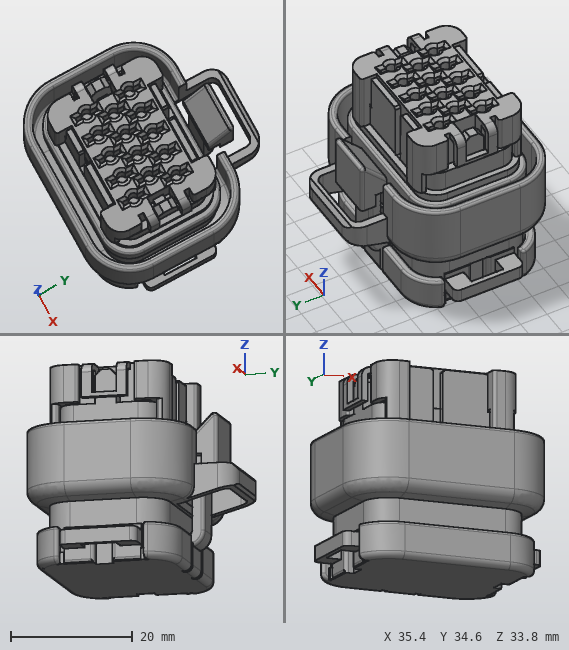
import cadquery as cq
import math

CORNER_X = 9.5
CORNER_Y = 5.63

SKIRT_OFFSET = 17.7 - CORNER_X
SKIRT_TOP = 23.08
SKIRT_BOTTOM = 10.48
SKIRT_CONE_ANGLE = 14
SKIRT_FILLET = 2.15
SKIRT_RIM_FILLET = 0.45
CAVITY_OFFSET = 6.75
CAVITY_BOTTOM = 11.9
CAVITY_FILLET = 0.53
NECK_OFFSET = 4.5
SEAL_SEAT = 18.4
LEDGE_OFFSET = 3.93
LEDGE_TOP = 23.2
PLUG_X = 12.4
PLUG_Y = 8.35
PLUG_RADIUS = 2.9
PLUG_TOP = 26.97

PANEL_END_X = 7.15
PANEL_INNER_Y = 7.33
PANEL_TOP = 33.3
PANEL_CHAMFER = 0.4
KEYWAY_X0 = -2.62
KEYWAY_X1 = -0.92
KEYWAY_FLOOR_Y = 7.22
KEYWAY_BOTTOM = 22.8

POST_Y = 1.8
POST_TOP = 32.65
POST_CHAMFER = 1.0
POST_TOP_INNER_X = 10.62
POST_FOOT_INNER_X = 9.77
POST_RIB_Y = 0.95
POST_RIB_TOP = 29.03

RIM_OFFSET = 6.55
RIM_INNER_OFFSET = 4.92
RIM_TOP = 6.1
RIM_TOP_FILLET = 0.42
RIM_BOTTOM_FILLET = 1.15
RIM_GROOVE_FLOOR = 1.4
RIM_GAP_Y = 7.2
RIM_END_FILLET = 0.55
PAD_X = 14.15
PAD_Y = 6.55
PAD_BOTTOM_FILLET = 0.67
WEB_X = 14.5
WEB_TOP = 1.9
LOOP_X = 17.7
LOOP_BOTTOM = 2.55
LOOP_TOP = 5.03
LOOP_RADIUS = 1.1
LOOP_BAR = 0.92
LOOP_OPENING_Y = 3.0
GROOVE_Y = 1.5
GROOVE_DEPTH = 1.6
GROOVE_FILLET = 0.6

LATCH_GAP_X = 6.48
LATCH_GAP_Y = 10.62
GUARD_X = 7.93
GUARD_Y = 20.75
GUARD_ROOT_Y = 12.55
GUARD_TOP = 16.92
GUARD_TIP_BOTTOM = 13.25
GUARD_ROOT_BOTTOM = 11.15
GUARD_OUTER_RADIUS = 2.97
GUARD_INNER_RADIUS = 1.4
GUARD_BAR = 1.5
GUARD_TOP_CHAMFER = 0.75
GUARD_TIP_CHAMFER = 0.5
ARM_X = 2.55
ARM_INNER_Y = 12.07
ARM_OUTER_Y = 14.1
ARM_BEND_Z = 6.97
ARM_ROOT_Z = 4.25
ARM_TOP = 21.25
ARM_SLOT_X = 3.45
LEVER_X = 4.45
LEVER_FRONT_Y = 11.95
LEVER_BACK_Y = 16.8
LEVER_TOP = 26.15
LEVER_TOP_WIDTH = 0.9
LEVER_UNDERCUT = 19.4
LEVER_FILLET = 0.55
ARM_FILLET = 0.55

SEAL_OFFSET = 5.05
SEAL_TOP = 21.77
SEAL_FILLET = 0.35

LOCK_TOP = 33.75
LOCK_Y = 10.1
LOBE_BOTTOM = 27.45
LOBE_INNER_X = 7.45
LOBE_FILLET = 0.53
NOTCH_FILLET = 0.45
LEG_X = 11.4
LEG_FILLET = 0.35
CORE_X = 10.97
CORE_Y = 7.1
NOTCH_Y = 4.75
HOOK_X = 13.45
HOOK_WALL = 1.05
HOOK_RADIUS = 1.55
HOOK_INNER_Y = 2.1
HOOK_OUTER_Y = 3.82
HOOK_BOTTOM = 27.95
CROSSBAR_TOP = 28.67
POCKET_X = 9.03

PITCH = 4.0
CAVITY_DEPTH = 4.25
HOLE_RADIUS = 0.9
COUNTERSINK_RADIUS = 1.52
SLOT_X = 0.65
SLOT_Y = 3.95
SLOT_BEVEL = 0.65
BEVEL_DEPTH = 0.5


def rounded_box(half_x, half_y, radius, bottom, top):
    box = cq.Workplane("XY").workplane(offset=bottom).rect(2 * half_x, 2 * half_y)
    return box.extrude(top - bottom).edges("|Z").fillet(radius)


def sleeve(offset, bottom, top):
    """The shared plan outline grown by offset, between two heights."""
    return rounded_box(CORNER_X + offset, CORNER_Y + offset, offset, bottom, top)


def outline_wire(offset, height):
    return sleeve(offset, height, height + 0.35).faces("<Z").val().outerWire()


def bowl(offset, bottom, top, fillet):
    """A sleeve closed by a shallow cone that starts at the neck, with a fillet between the two."""
    cone_top = bottom + (offset - NECK_OFFSET) * math.tan(math.radians(SKIRT_CONE_ANGLE))
    cone = cq.Solid.makeLoft([outline_wire(NECK_OFFSET, bottom), outline_wire(offset, cone_top)], True)
    shape = sleeve(offset, cone_top, top).union(cq.Workplane(cone))
    corner = cq.selectors.BoxSelector((-35.05, -35.05, cone_top - 0.05), (35.05, 35.05, cone_top + 0.05))
    return shape.edges(corner).fillet(fillet)


def box(x0, x1, y0, y1, z0, z1):
    return cq.Workplane("XY").box(x1 - x0, y1 - y0, z1 - z0, centered=False).translate((x0, y0, z0))


def both_ends(shape):
    """A feature at -X together with its mirror image at +X."""
    return shape.union(shape.mirror("YZ"))


def skirt():
    shell = bowl(SKIRT_OFFSET, SKIRT_BOTTOM, SKIRT_TOP, SKIRT_FILLET)
    shell = shell.cut(bowl(CAVITY_OFFSET, CAVITY_BOTTOM, SKIRT_TOP, CAVITY_FILLET))
    shell = shell.faces(">Z").edges().fillet(SKIRT_RIM_FILLET)
    return shell.cut(box(-LATCH_GAP_X, LATCH_GAP_X, LATCH_GAP_Y, GUARD_Y, 0, LOCK_TOP))


def plug():
    body = sleeve(NECK_OFFSET, 0, SEAL_SEAT).union(sleeve(LEDGE_OFFSET, SEAL_SEAT, LEDGE_TOP))
    nose = rounded_box(PLUG_X, PLUG_Y, PLUG_RADIUS, LEDGE_TOP, PLUG_TOP)
    return body.union(nose)


def plug_panels():
    """Two panels rising from each long side of the plug, with a keyway between them."""
    shape = cq.Workplane("XY")
    for x0, x1, inner in ((-PANEL_END_X, KEYWAY_X0, ">X"), (KEYWAY_X1, PANEL_END_X, "<X")):
        panel = box(x0, x1, -PLUG_Y, -PANEL_INNER_Y, PLUG_TOP, PANEL_TOP)
        panel = panel.faces(">Z").edges(inner).chamfer(PANEL_CHAMFER)
        shape = shape.union(panel)
    return shape.union(shape.mirror("XZ"))


def keyways():
    keyway = box(KEYWAY_X0, KEYWAY_X1, -PLUG_Y, -KEYWAY_FLOOR_Y, KEYWAY_BOTTOM, PLUG_TOP)
    return keyway.union(keyway.mirror("XZ"))


def locking_posts():
    post = (
        cq.Workplane("XZ", origin=(0, POST_Y, 0))
        .polyline([
            (-PLUG_X, PLUG_TOP),
            (-PLUG_X, POST_TOP),
            (-POST_TOP_INNER_X, POST_TOP),
            (-POST_FOOT_INNER_X, PLUG_TOP),
        ])
        .close()
        .extrude(2 * POST_Y)
    )
    post = post.faces(">Z").edges("|X").chamfer(POST_CHAMFER)
    rib = box(-POST_TOP_INNER_X, -POCKET_X, -POST_RIB_Y, POST_RIB_Y, PLUG_TOP, POST_RIB_TOP)
    return both_ends(post.union(rib))


def base_rim():
    rim = sleeve(RIM_OFFSET, 0, RIM_TOP).faces("<Z").edges().fillet(RIM_BOTTOM_FILLET)
    rim = rim.cut(sleeve(RIM_INNER_OFFSET, RIM_GROOVE_FLOOR, RIM_TOP))
    neck_x = CORNER_X + NECK_OFFSET
    side = CORNER_X + RIM_OFFSET
    for x0, x1 in ((-side, -neck_x), (neck_x, side)):
        rim = rim.cut(box(x0, x1, -RIM_GAP_Y, RIM_GAP_Y, 0, RIM_TOP))
    outer_corners = cq.selectors.BoxSelector((-side, -RIM_GAP_Y - 0.05, 0), (side, RIM_GAP_Y + 0.05, RIM_TOP))
    rim = rim.edges(outer_corners).edges("|Z").edges("<X or >X").fillet(RIM_END_FILLET)
    rim = rim.faces(">Z").edges().fillet(RIM_TOP_FILLET)
    for x0, x1 in ((-ARM_SLOT_X, -ARM_X), (ARM_X, ARM_SLOT_X)):
        rim = rim.cut(box(x0, x1, LATCH_GAP_Y, GUARD_Y, 0, RIM_TOP))
    return rim


def side_pads():
    """Flat pads on the ends of the neck that carry the loops, with a low web reaching to the rim."""
    pad = box(-PAD_X, -PLUG_X, -PAD_Y, PAD_Y, 0, RIM_TOP)
    pad = pad.faces("<Z").edges("<X").fillet(PAD_BOTTOM_FILLET)
    web = cq.Workplane("XY")
    for y0, y1 in ((-RIM_GAP_Y, -PAD_Y), (PAD_Y, RIM_GAP_Y)):
        web = web.union(box(-WEB_X, -PLUG_X, y0, y1, 0, WEB_TOP))
    return both_ends(pad.union(web))


def side_loops():
    loop = box(-LOOP_X, -PAD_X, -PAD_Y, PAD_Y, LOOP_BOTTOM, LOOP_TOP)
    loop = loop.faces("<X").edges("|Z").fillet(LOOP_RADIUS)
    opening = box(LOOP_BAR - LOOP_X, -PAD_X, -LOOP_OPENING_Y, LOOP_OPENING_Y, LOOP_BOTTOM, LOOP_TOP)
    return both_ends(loop.cut(opening))


def loop_grooves():
    """Grooves with rounded mouths in the pads, behind the side loops."""
    groove = box(-PAD_X, GROOVE_DEPTH - PAD_X, -GROOVE_Y, GROOVE_Y, 0, RIM_TOP)
    mouth_y = GROOVE_Y + GROOVE_FILLET
    lip_x = GROOVE_FILLET - PAD_X
    mouth = box(-PAD_X, lip_x, -mouth_y, mouth_y, 0, RIM_TOP)
    lips = cq.Workplane("XY").pushPoints([(lip_x, -mouth_y), (lip_x, mouth_y)])
    mouth = mouth.cut(lips.circle(GROOVE_FILLET).extrude(RIM_TOP))
    return both_ends(groove.union(mouth))


def latch_guard():
    side = (
        cq.Workplane("YZ", origin=(-GUARD_X, 0, 0))
        .polyline([
            (GUARD_ROOT_Y, GUARD_ROOT_BOTTOM),
            (GUARD_Y - GUARD_TIP_CHAMFER, GUARD_TIP_BOTTOM),
            (GUARD_Y, GUARD_TIP_BOTTOM + GUARD_TIP_CHAMFER),
            (GUARD_Y, GUARD_TOP - GUARD_TOP_CHAMFER),
            (GUARD_Y - GUARD_TOP_CHAMFER, GUARD_TOP),
            (GUARD_ROOT_Y, GUARD_TOP),
        ])
        .close()
        .extrude(2 * GUARD_X)
    )
    plan = box(-GUARD_X, GUARD_X, GUARD_ROOT_Y, GUARD_Y, 0, GUARD_TOP)
    plan = plan.faces(">Y").edges("|Z").fillet(GUARD_OUTER_RADIUS)
    window = box(-LATCH_GAP_X, LATCH_GAP_X, 0, GUARD_Y - GUARD_BAR, 0, GUARD_TOP)
    window = window.faces(">Y").edges("|Z").fillet(GUARD_INNER_RADIUS)
    return side.intersect(plan).cut(window)


def latch():
    neck_y = CORNER_Y + NECK_OFFSET
    bend = ARM_BEND_Z - ARM_ROOT_Z
    bend_start = (ARM_OUTER_Y - bend, ARM_BEND_Z)
    diagonal = bend * math.sqrt(0.5)
    arm = (
        cq.Workplane("YZ", origin=(-ARM_X, 0, 0))
        .moveTo(neck_y, ARM_ROOT_Z)
        .lineTo(bend_start[0], ARM_ROOT_Z)
        .threePointArc((bend_start[0] + diagonal, ARM_BEND_Z - diagonal), (ARM_OUTER_Y, ARM_BEND_Z))
        .lineTo(ARM_OUTER_Y, ARM_TOP)
        .lineTo(ARM_INNER_Y, ARM_TOP)
        .lineTo(ARM_INNER_Y, ARM_BEND_Z)
        .threePointArc(((ARM_INNER_Y + neck_y) / 2, RIM_TOP), (neck_y, ARM_BEND_Z))
        .close()
        .extrude(2 * ARM_X)
    )
    arm = arm.faces(">Y").edges("|Z").fillet(ARM_FILLET)
    slope_start = LEVER_BACK_Y - LEVER_TOP_WIDTH
    lever = (
        cq.Workplane("YZ", origin=(-LEVER_X, 0, 0))
        .polyline([
            (LEVER_BACK_Y, GUARD_TOP),
            (LEVER_BACK_Y, LEVER_TOP),
            (slope_start, LEVER_TOP),
            (LEVER_FRONT_Y, LEVER_TOP - slope_start + LEVER_FRONT_Y),
            (LEVER_FRONT_Y, LEVER_UNDERCUT),
            (ARM_OUTER_Y, LEVER_UNDERCUT),
            (ARM_OUTER_Y, GUARD_TOP),
        ])
        .close()
        .extrude(2 * LEVER_X)
    )
    lever = lever.faces(">Y").edges(">Z").fillet(LEVER_FILLET)
    upper = cq.selectors.BoxSelector((-35.05, LEVER_FRONT_Y + 0.35, LEVER_UNDERCUT + 0.35), (35.05, 35.05, LOCK_TOP))
    lever = lever.edges(upper).edges("<X or >X").fillet(LEVER_FILLET)
    return arm.union(lever)


def make_housing():
    body = skirt().union(plug()).union(plug_panels()).cut(keyways()).union(locking_posts())
    body = body.union(base_rim()).union(side_pads()).cut(loop_grooves()).union(side_loops())
    return body.union(latch_guard()).union(latch())


def make_seal():
    ring = sleeve(SEAL_OFFSET, SEAL_SEAT, SEAL_TOP).faces(">Z").edges().fillet(SEAL_FILLET)
    return ring.cut(sleeve(LEDGE_OFFSET, SEAL_SEAT, SEAL_TOP))


def lock_block():
    """The core with four corner lobes, and the lobes' legs down to the ledge."""
    outline = rounded_box(PLUG_X, LOCK_Y, PLUG_RADIUS, LEDGE_TOP, LOCK_TOP)
    for y0, y1 in ((CORE_Y, LOCK_Y), (-LOCK_Y, -CORE_Y)):
        outline = outline.cut(box(-LOBE_INNER_X, LOBE_INNER_X, y0, y1, LEDGE_TOP, LOCK_TOP))
    lobe_edges = [(sx * LOBE_INNER_X, sy * LOCK_Y) for sx in (-1, 1) for sy in (-1, 1)]
    for x, y in lobe_edges:
        near = cq.selectors.BoxSelector((x - 0.05, y - 0.05, 0), (x + 0.05, y + 0.05, 2 * LOCK_TOP))
        outline = outline.edges(near).fillet(LOBE_FILLET)
    keep = box(-PLUG_X, PLUG_X, -LOCK_Y, LOCK_Y, LOBE_BOTTOM, LOCK_TOP)
    keep = keep.union(box(-CORE_X, CORE_X, -CORE_Y, CORE_Y, PLUG_TOP, LOBE_BOTTOM))
    legs = box(-LEG_X, LEG_X, PLUG_Y, LOCK_Y, LEDGE_TOP, LOBE_BOTTOM)
    legs = legs.faces("<Y").edges("|Z").fillet(LEG_FILLET)
    keep = keep.union(legs).union(legs.mirror("XZ"))
    block = outline.intersect(keep)
    for x0, x1 in ((-PLUG_X, -CORE_X), (CORE_X, PLUG_X)):
        block = block.cut(box(x0, x1, -NOTCH_Y, NOTCH_Y, PLUG_TOP, LOCK_TOP))
    for x in (-PLUG_X, PLUG_X):
        near = cq.selectors.BoxSelector((x - 0.05, -NOTCH_Y - 0.05, 0), (x + 0.05, NOTCH_Y + 0.05, 2 * LOCK_TOP))
        block = block.edges(near).edges("|Z").fillet(NOTCH_FILLET)
    for x0, x1 in ((-PLUG_X, -POCKET_X), (POCKET_X, PLUG_X)):
        block = block.cut(box(x0, x1, -HOOK_INNER_Y, HOOK_INNER_Y, PLUG_TOP, LOCK_TOP))
    return block


def lock_hooks():
    """Pairs of fingers curving over the ends of the core, joined at the bottom by a crossbar."""
    bend_x = HOOK_RADIUS - HOOK_X
    bend_z = LOCK_TOP - HOOK_RADIUS
    inner_radius = HOOK_RADIUS - HOOK_WALL
    diagonal = math.sqrt(0.5)
    fingers = (
        cq.Workplane("XZ", origin=(0, HOOK_OUTER_Y, 0))
        .moveTo(-CORE_X, LOCK_TOP)
        .lineTo(bend_x, LOCK_TOP)
        .threePointArc(
            (bend_x - HOOK_RADIUS * diagonal, bend_z + HOOK_RADIUS * diagonal), (-HOOK_X, bend_z)
        )
        .lineTo(-HOOK_X, HOOK_BOTTOM)
        .lineTo(HOOK_WALL - HOOK_X, HOOK_BOTTOM)
        .lineTo(HOOK_WALL - HOOK_X, bend_z)
        .threePointArc(
            (bend_x - inner_radius * diagonal, bend_z + inner_radius * diagonal),
            (bend_x, bend_z + inner_radius),
        )
        .lineTo(-CORE_X, bend_z + inner_radius)
        .close()
        .extrude(2 * HOOK_OUTER_Y)
    )
    between = box(-HOOK_X, -CORE_X, -HOOK_INNER_Y, HOOK_INNER_Y, CROSSBAR_TOP, LOCK_TOP)
    return both_ends(fingers.cut(between))


def terminal_cavities():
    """Round holes crossed by a slot, both bevelled at the mouth, in staggered rows of 5, 4, 5."""
    floor = LOCK_TOP - CAVITY_DEPTH
    bevel_floor = LOCK_TOP - BEVEL_DEPTH
    hole = cq.Workplane("XY").workplane(offset=floor).circle(HOLE_RADIUS).extrude(CAVITY_DEPTH)
    slot = box(-SLOT_X / 2, SLOT_X / 2, -SLOT_Y / 2, SLOT_Y / 2, floor, LOCK_TOP)
    countersink = cq.Workplane(
        cq.Solid.makeCone(
            HOLE_RADIUS, COUNTERSINK_RADIUS, BEVEL_DEPTH, pnt=cq.Vector(0, 0, bevel_floor)
        )
    )
    bevel = (
        cq.Workplane("XY")
        .workplane(offset=bevel_floor)
        .rect(SLOT_X, SLOT_Y)
        .workplane(offset=BEVEL_DEPTH)
        .rect(SLOT_X + 2 * SLOT_BEVEL, SLOT_Y + 2 * SLOT_BEVEL)
        .loft(ruled=True)
    )
    cavity = hole.union(slot).union(countersink).union(bevel).val()
    centers = []
    for row, count in ((-1, 5), (0, 4), (1, 5)):
        for i in range(count):
            centers.append(((i - (count - 1) / 2) * PITCH, row * PITCH))
    return [cavity.translate(cq.Vector(x, y, 0)) for x, y in centers]


def make_lock():
    body = lock_block().union(lock_hooks())
    for cavity in terminal_cavities():
        body = body.cut(cq.Workplane(cavity))
    return body


housing = make_housing()
seal = make_seal()
terminal_lock = make_lock()
result = cq.Compound.makeCompound([housing.val(), seal.val(), terminal_lock.val()])